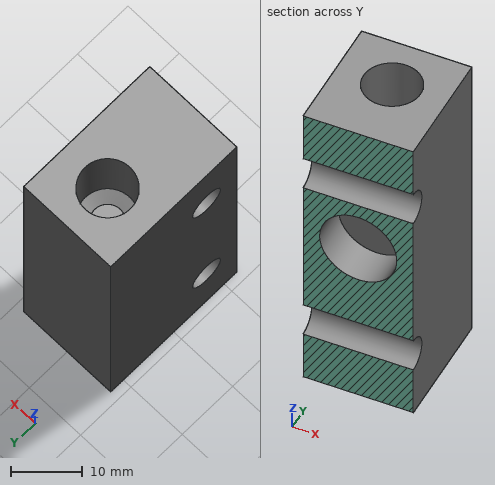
import cadquery as cq
import math

width = 17.0
depth = 25.0
height = 50.0

front_bore_diameter = 11.8
front_bore_depth = 12.0
front_bore_z = 3.0

port_diameter = 8.8
port_floor_diameter = 5.0
port_straight_depth = 12.0
port_y = 4.5
port_cone_angle = 118.0
port_cone_depth = (port_diameter - port_floor_diameter) / 2 / math.tan(math.radians(port_cone_angle / 2))

mount_diameter = 5.5
mount_y = -6.5
mount_spacing = 28.0


def front_bore():
    plane = cq.Plane(origin=(0, -depth / 2, front_bore_z), xDir=(1, 0, 0), normal=(0, 1, 0))
    return cq.Workplane(plane).circle(front_bore_diameter / 2).extrude(front_bore_depth)


def top_port():
    straight_end = height / 2 - port_straight_depth
    floor = straight_end - port_cone_depth
    profile = (
        cq.Workplane("XZ", origin=(0, port_y, 0))
        .moveTo(0, height / 2)
        .lineTo(port_diameter / 2, height / 2)
        .lineTo(port_diameter / 2, straight_end)
        .lineTo(port_floor_diameter / 2, floor)
        .lineTo(0, floor)
        .close()
    )
    return profile.revolve(360, (0, 0, 0), (0, 1, 0))


def mounting_holes():
    return (
        cq.Workplane("YZ", origin=(-width / 2, 0, 0))
        .pushPoints([(mount_y, side * mount_spacing / 2) for side in (-1, 1)])
        .circle(mount_diameter / 2)
        .extrude(width)
    )


block = cq.Workplane("XY").box(width, depth, height)
result = block.cut(front_bore()).cut(top_port()).cut(mounting_holes())